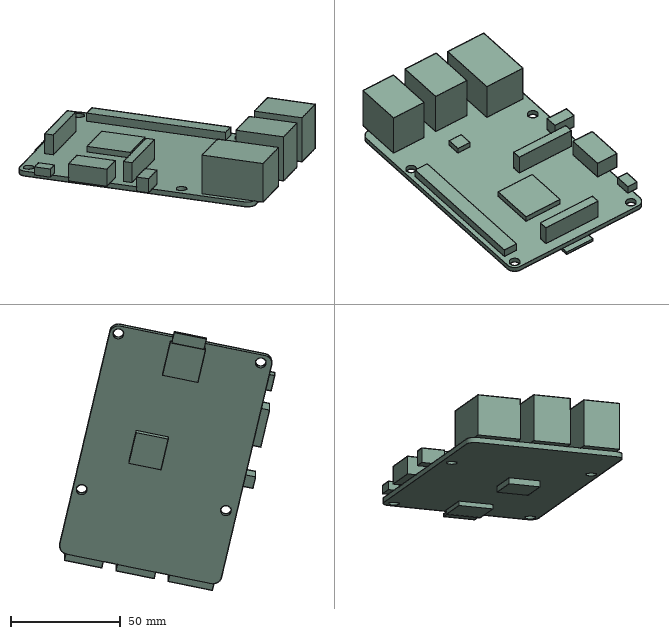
import cadquery as cq

BOARD_LENGTH = 114.3
BOARD_WIDTH = 75.35
BOARD_THICKNESS = 2.42
CORNER_RADIUS = 4.0

HOLE_DIAMETER = 4.8
HOLE_INSET = 3.95
LOWER_HOLE_Y = 5.1
UPPER_RIGHT_HOLE_X = 82.0
LOWER_RIGHT_HOLE_X = 78.0

RIGHT_OVERHANG = 4.15
CONNECTOR_END_X = BOARD_LENGTH + RIGHT_OVERHANG
USB_LENGTH = 23.15
USB_HEIGHT = 21.7
UPPER_USB_Y = 54.0
UPPER_USB_WIDTH = 17.4
LOWER_USB_Y = 29.6
LOWER_USB_WIDTH = 17.8
ETHERNET_LENGTH = 29.6
ETHERNET_WIDTH = 20.6
ETHERNET_HEIGHT = 19.0
ETHERNET_Y = 2.5

POWER_X = 9.6
POWER_SIZE = (7.7, 5.3, 4.0)
POWER_OVERHANG = 2.7
HDMI_X = 26.6
HDMI_SIZE = (18.6, 11.0, 8.4)
HDMI_OVERHANG = 4.0
AUDIO_X = 59.9
AUDIO_SIZE = (5.8, 11.0, 6.9)
AUDIO_OVERHANG = 4.82

HEADER_POSITION = (9.6, 66.1)
HEADER_SIZE = (67.3, 6.9, 4.0)
RIBBON_SOCKET_SIZE = (4.2, 29.7, 9.75)
RIBBON_SOCKET_POSITIONS = [(5.1, 23.0), (50.2, 4.1)]

PROCESSOR_POSITION = (22.5, 31.5)
PROCESSOR_SIZE = (21.0, 19.4, 2.75)
SMALL_CHIP_POSITION = (77.7, 41.2)
SMALL_CHIP_SIZE = (6.6, 6.8, 2.75)

MEMORY_POSITION = (48.3, 38.4)
MEMORY_SIZE = (15.4, 15.0, 2.83)
CARD_SLOT_POSITION = (2.3, 31.1)
CARD_SLOT_SIZE = (16.3, 16.5, 2.1)
CARD_WIDTH = 15.0
CARD_THICKNESS = 1.4
CARD_DROP = 0.35
CARD_OVERHANG = 2.82


def block(position, size, base_z):
    """Box with its lowest-X, lowest-Y corner at position and its base at base_z."""
    x, y = position
    return cq.Workplane("XY").box(*size, centered=False).translate((x, y, base_z))


def block_on_top(position, size):
    return block(position, size, BOARD_THICKNESS)


def block_below(position, size):
    height = size[2]
    return block(position, size, -height)


def make_board():
    hole_centers = [
        (HOLE_INSET, LOWER_HOLE_Y),
        (LOWER_RIGHT_HOLE_X, LOWER_HOLE_Y),
        (HOLE_INSET, BOARD_WIDTH - HOLE_INSET),
        (UPPER_RIGHT_HOLE_X, BOARD_WIDTH - HOLE_INSET),
    ]
    return (
        cq.Workplane("XY")
        .box(BOARD_LENGTH, BOARD_WIDTH, BOARD_THICKNESS, centered=False)
        .edges("|Z")
        .fillet(CORNER_RADIUS)
        .faces(">Z")
        .workplane(origin=(0, 0, 0))
        .pushPoints(hole_centers)
        .hole(HOLE_DIAMETER)
    )


def make_right_edge_connectors():
    upper_usb = (UPPER_USB_Y, (USB_LENGTH, UPPER_USB_WIDTH, USB_HEIGHT))
    lower_usb = (LOWER_USB_Y, (USB_LENGTH, LOWER_USB_WIDTH, USB_HEIGHT))
    ethernet = (ETHERNET_Y, (ETHERNET_LENGTH, ETHERNET_WIDTH, ETHERNET_HEIGHT))
    return [
        block_on_top((CONNECTOR_END_X - size[0], y), size)
        for y, size in (upper_usb, lower_usb, ethernet)
    ]


def make_front_edge_connectors():
    return [
        block_on_top((POWER_X, -POWER_OVERHANG), POWER_SIZE),
        block_on_top((HDMI_X, -HDMI_OVERHANG), HDMI_SIZE),
        block_on_top((AUDIO_X, -AUDIO_OVERHANG), AUDIO_SIZE),
    ]


def make_header_and_sockets():
    header = block_on_top(HEADER_POSITION, HEADER_SIZE)
    sockets = [block_on_top(position, RIBBON_SOCKET_SIZE) for position in RIBBON_SOCKET_POSITIONS]
    return [header] + sockets


def make_chips():
    return [
        block_on_top(PROCESSOR_POSITION, PROCESSOR_SIZE),
        block_on_top(SMALL_CHIP_POSITION, SMALL_CHIP_SIZE),
        block_below(MEMORY_POSITION, MEMORY_SIZE),
    ]


def make_card_and_slot():
    """Memory card slot under the board, with the card reaching out past the left edge."""
    slot_x, slot_y = CARD_SLOT_POSITION
    slot_width = CARD_SLOT_SIZE[1]
    slot = block_below(CARD_SLOT_POSITION, CARD_SLOT_SIZE)
    card_position = (-CARD_OVERHANG, slot_y + (slot_width - CARD_WIDTH) / 2)
    card_size = (slot_x + CARD_OVERHANG, CARD_WIDTH, CARD_THICKNESS)
    card = block(card_position, card_size, -CARD_DROP - CARD_THICKNESS)
    return [slot, card]


components = (
    make_right_edge_connectors()
    + make_front_edge_connectors()
    + make_header_and_sockets()
    + make_chips()
    + make_card_and_slot()
)

result = make_board()
for component in components:
    result = result.union(component)